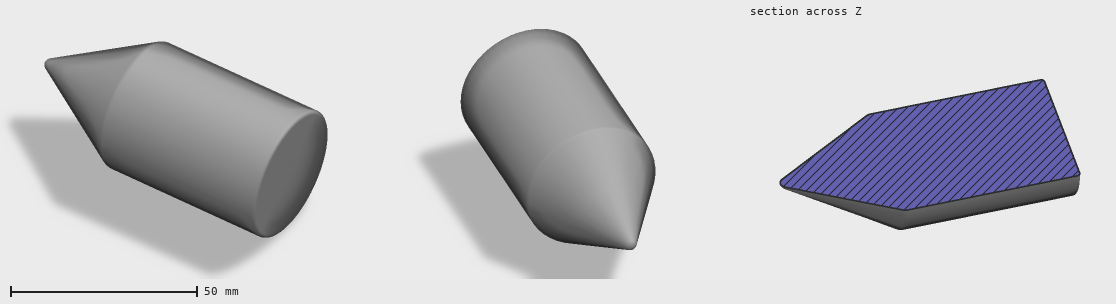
import cadquery as cq
import math

body_diameter = 37.2
end_round = 1.0
total_length = 78.59
cone_half_angle = math.radians(30.6)
tip_radius = 1.8
shoulder_radius = 2.4

body_radius = body_diameter / 2
tip_tangent_x = tip_radius * (1 - math.sin(cone_half_angle))
tip_tangent_r = tip_radius * math.cos(cone_half_angle)
apex_x = tip_radius - tip_radius / math.sin(cone_half_angle)
shoulder_x = apex_x + body_radius / math.tan(cone_half_angle)

shoulder_setback = shoulder_radius * math.tan(cone_half_angle / 2)


def point_on_arc(center_x, center_r, radius, angle):
    """Point on a profile arc, with the angle measured from +X."""
    return (center_x + radius * math.cos(angle), center_r + radius * math.sin(angle))


def make_profile():
    """Half outline of the part, with X along the axis and Y as the radius."""
    tip_mid = point_on_arc(tip_radius, 0, tip_radius, math.pi - (math.pi / 2 - cone_half_angle) / 2)
    shoulder_end_x = shoulder_x + shoulder_setback
    shoulder_center_r = body_radius - shoulder_radius
    cone_normal = math.pi / 2 + cone_half_angle
    shoulder_start = point_on_arc(shoulder_end_x, shoulder_center_r, shoulder_radius, cone_normal)
    shoulder_mid = point_on_arc(
        shoulder_end_x, shoulder_center_r, shoulder_radius, (cone_normal + math.pi / 2) / 2
    )
    end_center_x = total_length - end_round
    end_center_r = body_radius - end_round
    end_mid = point_on_arc(end_center_x, end_center_r, end_round, math.pi / 4)
    return (
        cq.Workplane("XY")
        .moveTo(0, 0)
        .threePointArc(tip_mid, (tip_tangent_x, tip_tangent_r))
        .lineTo(*shoulder_start)
        .threePointArc(shoulder_mid, (shoulder_end_x, body_radius))
        .lineTo(end_center_x, body_radius)
        .threePointArc(end_mid, (total_length, end_center_r))
        .lineTo(total_length, 0)
        .close()
    )


result = make_profile().revolve(360, (0, 0, 0), (1, 0, 0))